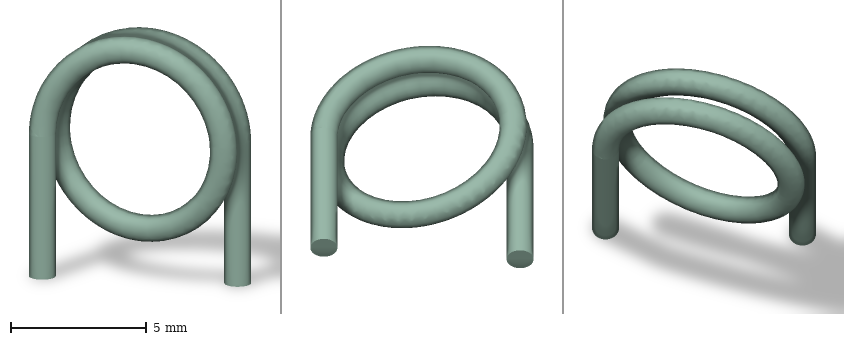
import cadquery as cq

total_height = 9.5
coil_diameter = 8.0
total_depth = 3.0
wire_diameter = 1.0
turns = 1.5

wire_radius = wire_diameter / 2
winding_radius = (coil_diameter - wire_diameter) / 2
leg_spacing = total_depth - wire_diameter
pitch = leg_spacing / turns
leg_length = total_height - coil_diameter / 2


def make_winding():
    """Right-handed helix from the front left leg, over the top, to the rear right leg."""
    path = cq.Wire.makeHelix(pitch, leg_spacing, winding_radius)
    coil = (
        cq.Workplane("XZ")
        .center(winding_radius, 0)
        .circle(wire_radius)
        .sweep(cq.Workplane(obj=path), isFrenet=True)
    )
    return (
        coil.rotate((0, 0, 0), (1, 0, 0), -90)
        .rotate((0, 0, 0), (0, 1, 0), 180)
        .translate((0, -leg_spacing / 2, 0))
    )


def make_leg(side):
    """Straight leg below one end of the winding; side is -1 (front left) or 1 (rear right)."""
    return (
        cq.Workplane("XY")
        .center(side * winding_radius, side * leg_spacing / 2)
        .circle(wire_radius)
        .extrude(-leg_length)
    )


result = make_winding()
for side in (-1, 1):
    result = result.union(make_leg(side))